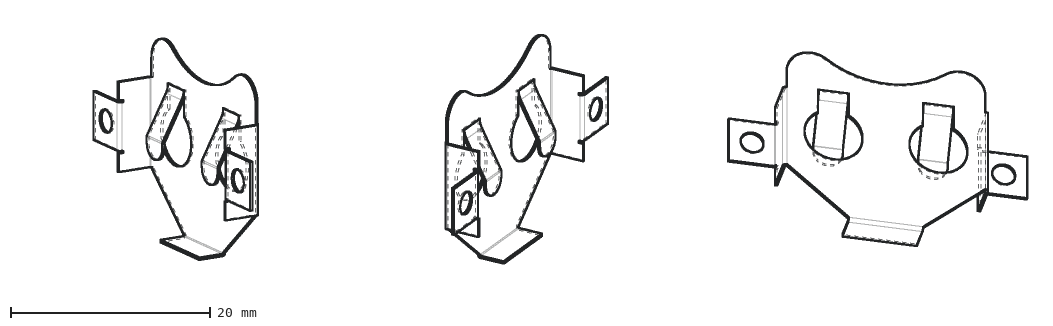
import cadquery as cq
import math


sheet = 0.254
bend_inner = 0.1
bend_outer = bend_inner + sheet

overall_width = 30.73
overall_depth = 3.96
overall_height = 19.81

plate_half_width = 10.22
shoulder_z = 5.88
lobe_radius = 2.5
dip_radius = 10.16

foot_width = 7.66
foot_depth = 3.0

wall_height = 9.4
wall_inner_x = plate_half_width + bend_inner
wall_mid_z = shoulder_z + wall_height / 2

tab_height = 5.08
tab_hole_diameter = 2.37
tab_hole_x = 12.95
notch_width = 0.23
notch_depth = 0.5

opening_x = 5.4
opening_z = 10.18
opening_radius = 2.99
slot_width = 3.18
slot_top_z = 15.42

tongue_width = 3.05
tongue_depth = 2.76
tongue_tip_z = 8.2
tongue_angle = math.radians(28.5)
root_radius = 2.0


def bent_sheet(plane, leg, length):
    """Right-angle bend that starts at a sheet edge and carries a leg, extruded along the edge.

    Local x points out of the edge and local y points along the leg. The leg is measured
    from the sheet's outer face, which lies on local y = 0.
    """
    mid = math.sqrt(0.5)
    return (
        cq.Workplane(plane)
        .moveTo(0, 0)
        .threePointArc((bend_outer * mid, bend_outer * (1 - mid)), (bend_outer, bend_outer))
        .lineTo(bend_outer, leg)
        .lineTo(bend_inner, leg)
        .lineTo(bend_inner, bend_outer)
        .threePointArc((bend_inner * mid, bend_outer - bend_inner * mid), (0, sheet))
        .close()
        .extrude(length)
    )


def make_plate():
    """Back plate with two rounded lobes, a round dip between them and a tapered lower end."""
    lobe_x = plate_half_width - lobe_radius
    lobe_z = overall_height - lobe_radius
    centre_distance = lobe_radius + dip_radius
    dip_centre_z = lobe_z + math.sqrt(centre_distance**2 - lobe_x**2)
    joint_x = lobe_x * dip_radius / centre_distance
    joint_z = dip_centre_z - (dip_centre_z - lobe_z) * dip_radius / centre_distance
    foot_half = foot_width / 2
    return (
        cq.Workplane("XZ")
        .moveTo(-foot_half, bend_outer)
        .lineTo(foot_half, bend_outer)
        .lineTo(plate_half_width, shoulder_z)
        .lineTo(plate_half_width, lobe_z)
        .threePointArc((lobe_x, overall_height), (joint_x, joint_z))
        .threePointArc((0, dip_centre_z - dip_radius), (-joint_x, joint_z))
        .threePointArc((-lobe_x, overall_height), (-plate_half_width, lobe_z))
        .lineTo(-plate_half_width, shoulder_z)
        .close()
        .extrude(sheet)
    )


def make_foot():
    """Flange bent forwards from the bottom edge of the back plate."""
    edge = cq.Plane(origin=(foot_width / 2, 0, bend_outer), xDir=(0, 0, -1), normal=(-1, 0, 0))
    return bent_sheet(edge, foot_depth, foot_width)


def make_opening(side):
    """Cutter for the round opening and the slot above it; side is -1 or 1."""
    centre_x = side * opening_x
    slot_height = slot_top_z - opening_z
    circle = cq.Workplane("XZ").center(centre_x, opening_z).circle(opening_radius).extrude(sheet)
    slot = (
        cq.Workplane("XZ")
        .center(centre_x, opening_z + slot_height / 2)
        .rect(slot_width, slot_height)
        .extrude(sheet)
    )
    return circle.union(slot)


def make_right_wall():
    """Side wall at +X with its notched front edge and the mounting tab bent outwards from it."""
    wall_edge = cq.Plane(
        origin=(plate_half_width, 0, shoulder_z + wall_height), xDir=(1, 0, 0), normal=(0, 0, -1)
    )
    wall = bent_sheet(wall_edge, overall_depth, wall_height)

    tab_bottom_z = wall_mid_z - tab_height / 2
    bend_start_y = -(overall_depth - bend_outer)
    wall = wall.cut(
        cq.Workplane("XY")
        .box(sheet, bend_outer, tab_height, centered=False)
        .translate((wall_inner_x, -overall_depth, tab_bottom_z))
    )

    notch_offset = (tab_height + notch_width) / 2
    for direction in (-1, 1):
        notch = (
            cq.Workplane("YZ", origin=(wall_inner_x, 0, 0))
            .center(-overall_depth, wall_mid_z + direction * notch_offset)
            .slot2D(2 * notch_depth, notch_width)
            .extrude(sheet)
        )
        wall = wall.cut(notch)

    tab_edge = cq.Plane(origin=(wall_inner_x, bend_start_y, tab_bottom_z), xDir=(0, -1, 0), normal=(0, 0, 1))
    tab = bent_sheet(tab_edge, overall_width / 2 - wall_inner_x, tab_height)
    hole = (
        cq.Workplane("XZ")
        .center(tab_hole_x, wall_mid_z)
        .circle(tab_hole_diameter / 2)
        .extrude(overall_depth)
    )
    return wall.union(tab.cut(hole))


def make_housing():
    """Back plate, foot, side walls and mounting tabs as one sheet-metal body."""
    right_wall = make_right_wall()
    housing = make_plate().union(make_foot()).union(right_wall).union(right_wall.mirror("YZ"))
    for side in (-1, 1):
        housing = housing.cut(make_opening(side))
    return housing


def make_tongue(side):
    """Spring tongue that leaves the top of the slot, slopes forwards and ends in a flat round tip."""
    sine = math.sin(tongue_angle)
    cosine = math.cos(tongue_angle)
    half_sine = math.sin(tongue_angle / 2)
    half_cosine = math.cos(tongue_angle / 2)
    root_outer = root_radius + sheet

    root_y = -sheet - root_radius
    tip_y = -tongue_depth + bend_outer
    slope_forward = root_y + (root_radius + bend_outer) * cosine - tip_y
    slope_drop = slope_forward / math.tan(tongue_angle)
    tip_bend_z = slot_top_z - (root_radius + bend_outer) * sine - slope_drop

    profile = (
        cq.Workplane("YZ")
        .moveTo(-sheet, slot_top_z)
        .threePointArc(
            (root_y + root_radius * half_cosine, slot_top_z - root_radius * half_sine),
            (root_y + root_radius * cosine, slot_top_z - root_radius * sine),
        )
        .lineTo(tip_y - bend_outer * cosine, tip_bend_z + bend_outer * sine)
        .threePointArc(
            (tip_y - bend_outer * half_cosine, tip_bend_z + bend_outer * half_sine),
            (-tongue_depth, tip_bend_z),
        )
        .lineTo(-tongue_depth, tongue_tip_z)
        .lineTo(-tongue_depth + sheet, tongue_tip_z)
        .lineTo(-tongue_depth + sheet, tip_bend_z)
        .threePointArc(
            (tip_y - bend_inner * half_cosine, tip_bend_z + bend_inner * half_sine),
            (tip_y - bend_inner * cosine, tip_bend_z + bend_inner * sine),
        )
        .lineTo(root_y + root_outer * cosine, slot_top_z - root_outer * sine)
        .threePointArc(
            (root_y + root_outer * half_cosine, slot_top_z - root_outer * half_sine),
            (0, slot_top_z),
        )
        .close()
    )
    strip = profile.extrude(tongue_width / 2, both=True)

    half_width = tongue_width / 2
    round_z = tongue_tip_z + half_width
    outline = (
        cq.Workplane("XZ")
        .moveTo(-half_width, slot_top_z)
        .lineTo(-half_width, round_z)
        .threePointArc((0, tongue_tip_z), (half_width, round_z))
        .lineTo(half_width, slot_top_z)
        .close()
        .extrude(overall_depth)
    )
    return strip.intersect(outline).translate((side * opening_x, 0, 0))


housing = make_housing()
tongues = [make_tongue(side) for side in (-1, 1)]

result = cq.Compound.makeCompound([housing.val(), *[tongue.val() for tongue in tongues]])